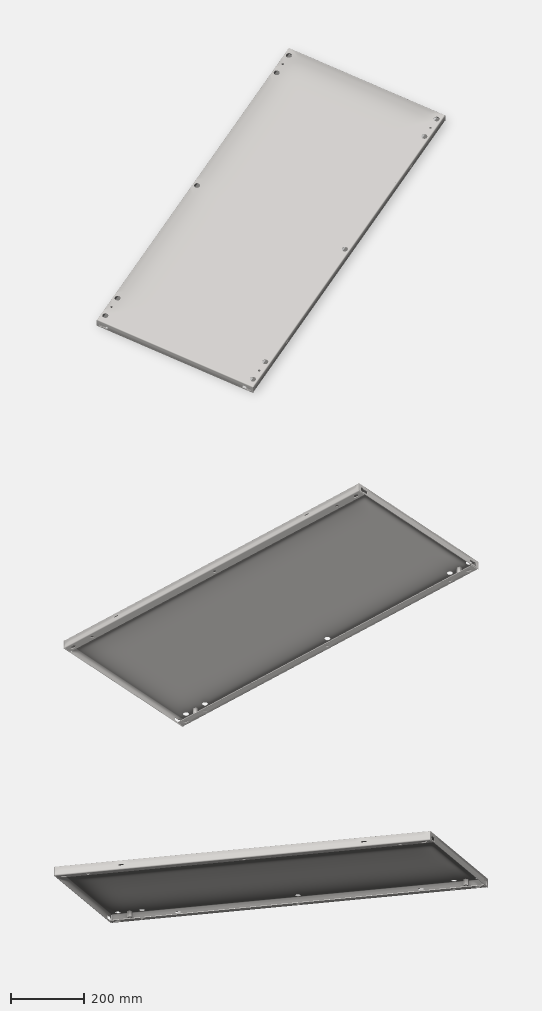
import cadquery as cq
import math

length = 1088.0
width = 489.0
height = 26.0
sheet = 1.6
bend_radius = 3.0
lip_width = 25.0

half_length = length / 2
half_width = width / 2
top_z = height / 2
bottom_z = -height / 2
inner_radius = bend_radius - sheet
side_end_y = half_length - bend_radius

row_x = 231.0
outer_hole_y = 520.0
hole_pitch = 35.0
nut_y = outer_hole_y - hole_pitch
inner_hole_y = outer_hole_y - 2 * hole_pitch
access_diameter = 16.0
fixing_diameter = 9.2
lip_slot_length = 16.0

keyhole_z = -3.8
keyhole_diameter = 13.6
keyhole_slot_height = 10.0
keyhole_end_x = 210.0

side_slot_y = 350.0
side_slot_length = 15.0
side_slot_height = 3.0

nut_across_flats = 13.0
nut_height = 18.0
nut_bore = 7.0
nut_corner_diameter = nut_across_flats / math.cos(math.pi / 6)


def middle_block():
    """Solid block filling the panel outline between the two end folds."""
    return cq.Workplane("XY").box(width, 2 * side_end_y, height)


def end_fold_shell():
    """Top sheet with a plain flange folded down at each end, across the full width."""
    outer = (
        cq.Workplane("XY")
        .box(width, length, height)
        .edges("|X and >Z")
        .fillet(bend_radius)
    )
    inner = (
        cq.Workplane("XY", origin=(0, 0, -sheet))
        .box(width, length - 2 * sheet, height)
        .edges("|X and >Z")
        .fillet(inner_radius)
    )
    return outer.cut(inner)


def side_fold_shell():
    """C-shaped section between the end folds: top sheet, side flanges and bottom lips."""
    run = 2 * side_end_y
    outer = middle_block().edges("|Y").fillet(bend_radius)
    inner = (
        cq.Workplane("XY")
        .box(width - 2 * sheet, run, height - 2 * sheet)
        .edges("|Y")
        .fillet(inner_radius)
    )
    opening = (
        cq.Workplane("XY", origin=(0, 0, bottom_z))
        .box(width - 2 * lip_width, run, 2 * bend_radius)
    )
    return outer.cut(inner).cut(opening)


def folded_sheet():
    """Whole sheet: the end folds at both ends joined to the side folds between them."""
    return end_fold_shell().cut(middle_block()).union(side_fold_shell())


def row_points(y_values):
    """Points on both long-side rows at the given places along Y."""
    return [(side * row_x, y) for side in (-1, 1) for y in y_values]


def access_holes():
    """Round holes through the top sheet only."""
    y_values = (-outer_hole_y, -inner_hole_y, 0, inner_hole_y, outer_hole_y)
    return (
        cq.Workplane("XY")
        .pushPoints(row_points(y_values))
        .circle(access_diameter / 2)
        .extrude(top_z)
    )


def lip_holes():
    """Smaller holes in the lips, lengthened into slots at the four corners."""
    round_holes = (
        cq.Workplane("XY")
        .pushPoints(row_points((-inner_hole_y, 0, inner_hole_y)))
        .circle(fixing_diameter / 2)
        .extrude(bottom_z)
    )
    slots = (
        cq.Workplane("XY")
        .pushPoints(row_points((-outer_hole_y, outer_hole_y)))
        .slot2D(lip_slot_length, fixing_diameter, 90)
        .extrude(bottom_z)
    )
    return round_holes.union(slots)


def keyholes():
    """Keyholes through both end flanges, each with its slot toward the middle."""
    slot_length = row_x - keyhole_end_x
    slot_center_x = (row_x + keyhole_end_x) / 2
    plane = cq.Workplane("XZ", origin=(0, 0, keyhole_z))
    circles = (
        plane.pushPoints([(-row_x, 0), (row_x, 0)])
        .circle(keyhole_diameter / 2)
        .extrude(half_length, both=True)
    )
    slots = (
        plane.pushPoints([(-slot_center_x, 0), (slot_center_x, 0)])
        .rect(slot_length, keyhole_slot_height)
        .extrude(half_length, both=True)
    )
    return circles.union(slots).cut(middle_block())


def side_slots():
    """Narrow slots through both long side flanges."""
    return (
        cq.Workplane("YZ")
        .pushPoints([(-side_slot_y, 0), (side_slot_y, 0)])
        .rect(side_slot_length, side_slot_height)
        .extrude(half_width, both=True)
    )


def hex_prism(x, y):
    """Outer shape of a nut, also the shape of its seat in the top sheet."""
    return (
        cq.Workplane("XY", origin=(x, y, top_z - nut_height))
        .polygon(6, nut_corner_diameter)
        .extrude(nut_height)
    )


def make_nut(x, y):
    """Hexagonal nut set flush into the top sheet."""
    return hex_prism(x, y).faces(">Z").workplane().hole(nut_bore)


nut_points = row_points((-nut_y, nut_y))

panel = folded_sheet().cut(access_holes()).cut(lip_holes()).cut(keyholes()).cut(side_slots())
for x, y in nut_points:
    panel = panel.cut(hex_prism(x, y))

nuts = [make_nut(x, y) for x, y in nut_points]

result = cq.Compound.makeCompound([panel.solids().val(), *[nut.val() for nut in nuts]])